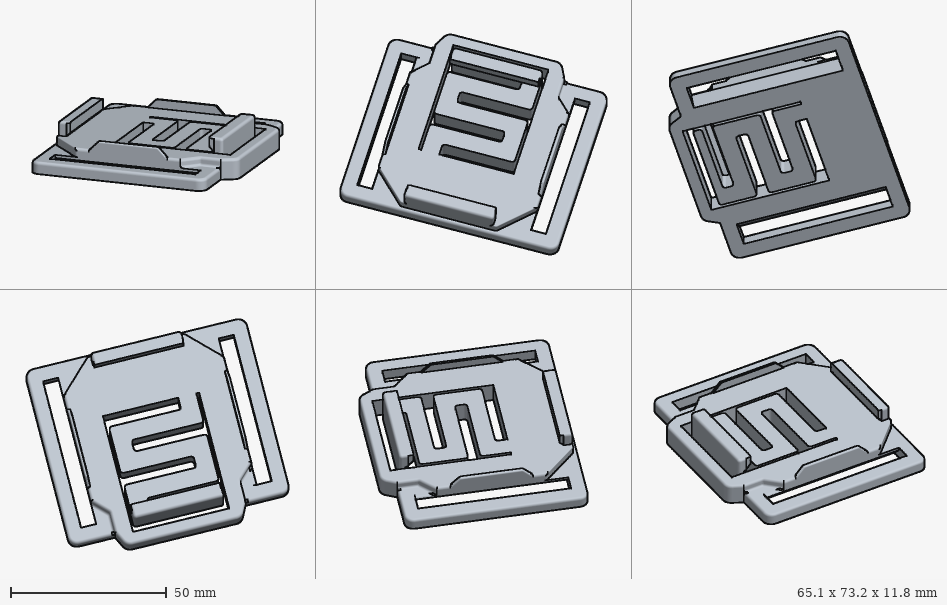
import cadquery as cq

PLATE_LENGTH = 60.0
PLATE_WIDTH = 73.15
PLATE_THICKNESS = 4.0
PLATE_CORNER_RADIUS = 3.0
EDGE_RADIUS = 1.0

SLOT_MARGIN = 5.0
SLOT_WIDTH = 5.0
SLOT_UNDERCUT = 3.0

TRAY_TOP = 6.95
TRAY_SETBACK = 1.4
LEFT_CHAMFER = 10.6
LEFT_CORNER_RADIUS = 1.25
LEFT_EDGE_RADIUS = 0.4
SHOULDER_X = 18.0
NECK_HALF_WIDTH = 21.65
NOSE_LENGTH = 5.1
NOSE_TAPER = 2.55
FOOT_RADIUS = 0.9

TAB_TOP = 9.95
TAB_THICKNESS = 1.0
TAB_TOP_LENGTH = 20.5
TAB_EDGE_RADIUS = 0.5

WINDOW_LEFT = -8.4
WINDOW_LENGTH = 39.6
WINDOW_WIDTH = 31.9
SPRING_WIDTH = 30.0
SPRING_RIGHT = 28.1
BAR_WIDTH = 6.0
BAR_GAP = 3.95
BAR_COUNT = 3

HOOK_TOP = 11.8
POST_THICKNESS = 3.0
FIXED_LIP_REACH = 1.25
SPRING_LIP_REACH = 1.7
LIP_END_SETBACK = 0.2

PICK_MARGIN = 0.1
RUN_OUT = 7.3

plate_right = PLATE_LENGTH / 2
slot_right = plate_right - SLOT_MARGIN
tray_half_width = PLATE_WIDTH / 2 - SLOT_MARGIN - SLOT_WIDTH
tray_left = TRAY_SETBACK - plate_right
neck_left = SHOULDER_X + tray_half_width - NECK_HALF_WIDTH
nose_right = plate_right + NOSE_LENGTH
spring_half_width = SPRING_WIDTH / 2

left_end = (tray_left, tray_half_width - LEFT_CHAMFER)
left_corner = (tray_left + LEFT_CHAMFER, tray_half_width)
shoulder = (SHOULDER_X, tray_half_width)
neck_start = (neck_left, NECK_HALF_WIDTH)
neck_end = (plate_right, NECK_HALF_WIDTH)
nose_corner = (nose_right, NECK_HALF_WIDTH - NOSE_TAPER)


def box(x_min, x_max, y_min, y_max, z_min, z_max):
    size = (x_max - x_min, y_max - y_min, z_max - z_min)
    return cq.Workplane("XY").box(*size, centered=False).translate((x_min, y_min, z_min))


def symmetric_prism(upper_side, height):
    """Prism whose outline is the given +Y side and its mirror image."""
    lower_side = [(x, -y) for x, y in reversed(upper_side)]
    return cq.Workplane("XY").polyline(upper_side + lower_side).close().extrude(height)


def upright_edges(corners):
    """Selector for the vertical edges at the given corners and their mirror images."""
    selectors = [
        cq.selectors.BoxSelector(
            (x - PICK_MARGIN, side * y - PICK_MARGIN, 0),
            (x + PICK_MARGIN, side * y + PICK_MARGIN, HOOK_TOP),
        )
        for x, y in corners
        for side in (-1, 1)
    ]
    combined = selectors[0]
    for selector in selectors[1:]:
        combined = combined + selector
    return combined


def make_plate():
    plate = cq.Workplane("XY").rect(PLATE_LENGTH, PLATE_WIDTH).extrude(PLATE_THICKNESS)
    plate = plate.edges("|Z").fillet(PLATE_CORNER_RADIUS)
    return plate.faces(">Z").edges().fillet(EDGE_RADIUS)


def make_tray():
    """Overlap of a prism shaping the sides and nose with one shaping the left end."""
    square_left = (-plate_right, tray_half_width)
    sides = symmetric_prism([square_left, shoulder, neck_start, neck_end, nose_corner], TRAY_TOP)
    sides = sides.edges(upright_edges([nose_corner])).fillet(PLATE_CORNER_RADIUS)
    sides = sides.edges(upright_edges([neck_start])).fillet(EDGE_RADIUS)
    sides = sides.faces(">Z").edges("not <X").fillet(EDGE_RADIUS)

    square_right = (nose_right, tray_half_width)
    end = symmetric_prism([left_end, left_corner, square_right], TRAY_TOP)
    end = end.edges(upright_edges([left_end, left_corner])).fillet(LEFT_CORNER_RADIUS)
    end = end.faces(">Z").edges("<X").fillet(LEFT_EDGE_RADIUS)
    return sides.intersect(end)


def make_feet():
    """Concave fillets between the plate top and the tray walls right of the shoulders.

    They are rounded on an oversized wall and slab, then trimmed to the plate.
    """
    before_shoulder = (shoulder[0] - RUN_OUT, shoulder[1] + RUN_OUT)
    past_neck = (plate_right + RUN_OUT, NECK_HALF_WIDTH)
    wall = symmetric_prism([before_shoulder, neck_start, past_neck], TRAY_TOP)
    wall = wall.edges(upright_edges([neck_start])).fillet(EDGE_RADIUS)
    slab_length = PLATE_LENGTH + 4 * RUN_OUT
    slab = cq.Workplane("XY").rect(slab_length, PLATE_WIDTH).extrude(PLATE_THICKNESS)
    joined = slab.union(wall)
    joined = joined.edges(cq.selectors.BoxSelector(
        (neck_left - RUN_OUT, -tray_half_width, PLATE_THICKNESS - FOOT_RADIUS),
        (plate_right + RUN_OUT, tray_half_width, PLATE_THICKNESS + FOOT_RADIUS),
    )).fillet(FOOT_RADIUS)
    return joined.intersect(box(
        SHOULDER_X, plate_right,
        -tray_half_width, tray_half_width,
        PLATE_THICKNESS, PLATE_THICKNESS + FOOT_RADIUS,
    ))


def make_slot_cutters():
    slot_centre = tray_half_width + SLOT_WIDTH / 2
    return (
        cq.Workplane("XY")
        .pushPoints([(0, -slot_centre), (0, slot_centre)])
        .rect(2 * slot_right, SLOT_WIDTH)
        .extrude(PLATE_THICKNESS)
    )


def make_undercut():
    """45 degree chamfer under the inner edge of the -Y slot, over the slot's full length."""
    return (
        cq.Workplane("YZ", origin=(-slot_right, -tray_half_width, 0))
        .polyline([(0, 0), (SLOT_UNDERCUT, 0), (0, SLOT_UNDERCUT)])
        .close()
        .extrude(2 * slot_right)
    )


def round_slot_edge(body):
    """Round the stretch of the +Y slot's inner edge lying right of the tray."""
    return body.edges(cq.selectors.BoxSelector(
        (SHOULDER_X, tray_half_width - PICK_MARGIN, PLATE_THICKNESS - PICK_MARGIN),
        (slot_right, tray_half_width + PICK_MARGIN, PLATE_THICKNESS + PICK_MARGIN),
    )).fillet(EDGE_RADIUS)


def make_tab():
    """Tab on the -Y side, with its outer top and end edges rounded."""
    base_z = TRAY_TOP - EDGE_RADIUS
    top_half = TAB_TOP_LENGTH / 2
    base_half = top_half + TAB_TOP - base_z
    tab = (
        cq.Workplane("XZ", origin=(0, -tray_half_width, 0))
        .polyline([(-base_half, base_z), (-top_half, TAB_TOP), (top_half, TAB_TOP), (base_half, base_z)])
        .close()
        .extrude(-TAB_THICKNESS)
    )
    tab = tab.edges("|Y and >Z").fillet(EDGE_RADIUS)
    return tab.faces("<Y").edges("not <Z").fillet(TAB_EDGE_RADIUS)


def make_spring():
    """Block slit from alternate sides, leaving bars joined at alternate ends."""
    spring = box(WINDOW_LEFT, SPRING_RIGHT, -spring_half_width, spring_half_width, 0, TRAY_TOP)
    slit_end = spring_half_width - BAR_WIDTH
    pitch = BAR_GAP + BAR_WIDTH
    for index in range(BAR_COUNT + 1):
        left = WINDOW_LEFT + index * pitch
        right = left + BAR_GAP
        if index == BAR_COUNT:
            right = SPRING_RIGHT - POST_THICKNESS
        if index % 2 == 0:
            slit = box(left, right, -spring_half_width, slit_end, 0, TRAY_TOP)
        else:
            slit = box(left, right, -slit_end, spring_half_width, 0, TRAY_TOP)
        spring = spring.cut(slit)
    return spring.edges("|Z").edges(cq.selectors.BoxSelector(
        (WINDOW_LEFT + BAR_GAP / 2, -PLATE_WIDTH, 0),
        (nose_right, PLATE_WIDTH, TRAY_TOP),
    )).fillet(EDGE_RADIUS)


def make_hook(lip_reach):
    """Hook with its outer face at X = 0 and its lip pointing toward +X."""
    base_z = TRAY_TOP - LEFT_EDGE_RADIUS
    lip_end = POST_THICKNESS + lip_reach
    hook = (
        cq.Workplane("XZ", origin=(0, spring_half_width, 0))
        .polyline([
            (0, base_z),
            (POST_THICKNESS, base_z),
            (POST_THICKNESS, TRAY_TOP),
            (lip_end, TRAY_TOP + lip_reach),
            (lip_end, HOOK_TOP),
            (0, HOOK_TOP),
        ])
        .close()
        .extrude(SPRING_WIDTH)
    )
    hook = hook.edges("|Z and <X").fillet(EDGE_RADIUS)
    hook = hook.faces(">Z").edges("not >X").fillet(EDGE_RADIUS)
    lip_half_width = spring_half_width - LIP_END_SETBACK
    for y_min, y_max in ((lip_half_width, spring_half_width), (-spring_half_width, -lip_half_width)):
        hook = hook.cut(box(POST_THICKNESS, lip_end, y_min, y_max, base_z, HOOK_TOP))
    return hook


def make_window_cutter():
    window_right = WINDOW_LEFT + WINDOW_LENGTH
    return box(WINDOW_LEFT, window_right, -WINDOW_WIDTH / 2, WINDOW_WIDTH / 2, 0, TRAY_TOP)


tab = make_tab()
undercut = make_undercut()
fixed_hook = make_hook(FIXED_LIP_REACH).translate((tray_left, 0, 0))
spring_hook = make_hook(SPRING_LIP_REACH).rotate((0, 0, 0), (0, 0, 1), 180)
spring_hook = spring_hook.translate((SPRING_RIGHT, 0, 0))

body = make_plate().union(make_tray()).cut(make_slot_cutters())
body = round_slot_edge(body)
body = body.union(make_feet())
body = body.cut(undercut).cut(undercut.mirror("XZ"))
body = body.union(tab).union(tab.mirror("XZ"))
body = body.cut(make_window_cutter())
result = body.union(make_spring()).union(fixed_hook).union(spring_hook)